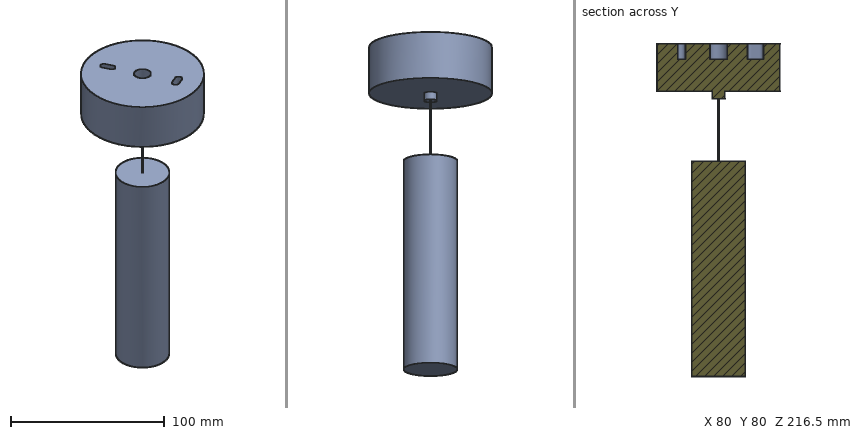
import cadquery as cq

total_height = 216.5

canopy_diameter = 80.0
canopy_height = 31.0
center_hole_diameter = 11.0
center_hole_depth = 10.0

slot_offset = 24.0
slot_length = 10.2
slot_width = 4.8
slot_depth = 10.0

grip_diameter = 8.5
grip_height = 5.0
cable_diameter = 1.0

tube_diameter = 35.0
tube_height = 140.0

canopy_bottom = total_height - canopy_height
grip_bottom = canopy_bottom - grip_height


def cylinder(diameter, bottom, top):
    """Vertical cylinder on the Z axis between two heights."""
    return cq.Workplane("XY").workplane(offset=bottom).circle(diameter / 2).extrude(top - bottom)


def mounting_slot(x, angle):
    """Cutter for a blind slot in the canopy top, turned by angle about its own centre."""
    return (
        cq.Workplane("XY")
        .workplane(offset=total_height - slot_depth)
        .center(x, 0)
        .slot2D(slot_length, slot_width, angle)
        .extrude(slot_depth)
    )


canopy = cylinder(canopy_diameter, canopy_bottom, total_height)
canopy = canopy.cut(cylinder(center_hole_diameter, total_height - center_hole_depth, total_height))
canopy = canopy.cut(mounting_slot(-slot_offset, 0))
canopy = canopy.cut(mounting_slot(slot_offset, 90))

grip = cylinder(grip_diameter, grip_bottom, canopy_bottom)
cable = cylinder(cable_diameter, tube_height, grip_bottom)
tube = cylinder(tube_diameter, 0, tube_height)

result = canopy.union(grip).union(cable).union(tube)